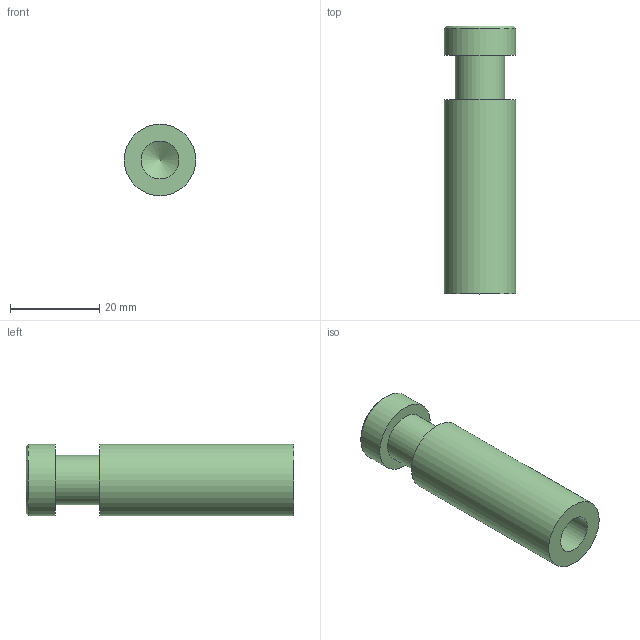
import cadquery as cq
import math

pin_diameter = 16.0
pin_length = 60.0

head_length = 6.5
head_chamfer = 0.5
neck_diameter = 11.0
neck_length = 10.0

hole_diameter = 8.5
hole_depth = 25.0
drill_point_angle = 118.0

body_length = pin_length - head_length - neck_length
hole_radius = hole_diameter / 2
drill_point_length = hole_radius / math.tan(math.radians(drill_point_angle / 2))


def cylinder_along_y(start, length, diameter):
    """Solid cylinder on the Y axis, running from start towards +Y."""
    base = cq.Workplane("XZ", origin=(0, start, 0))
    return base.circle(diameter / 2).extrude(-length)


def make_head():
    """Head disc with its outer end edge chamfered."""
    head = cylinder_along_y(body_length + neck_length, head_length, pin_diameter)
    return head.faces(">Y").edges().chamfer(head_chamfer)


def make_drilled_hole():
    """Drill shape: full-diameter cylinder ending in a conical point."""
    return (
        cq.Workplane("XY")
        .lineTo(hole_radius, 0)
        .lineTo(hole_radius, hole_depth)
        .lineTo(0, hole_depth + drill_point_length)
        .close()
        .revolve(360, (0, 0, 0), (0, 1, 0))
    )


body = cylinder_along_y(0, body_length, pin_diameter)
neck = cylinder_along_y(body_length, neck_length, neck_diameter)

result = body.union(neck).union(make_head()).cut(make_drilled_hole())